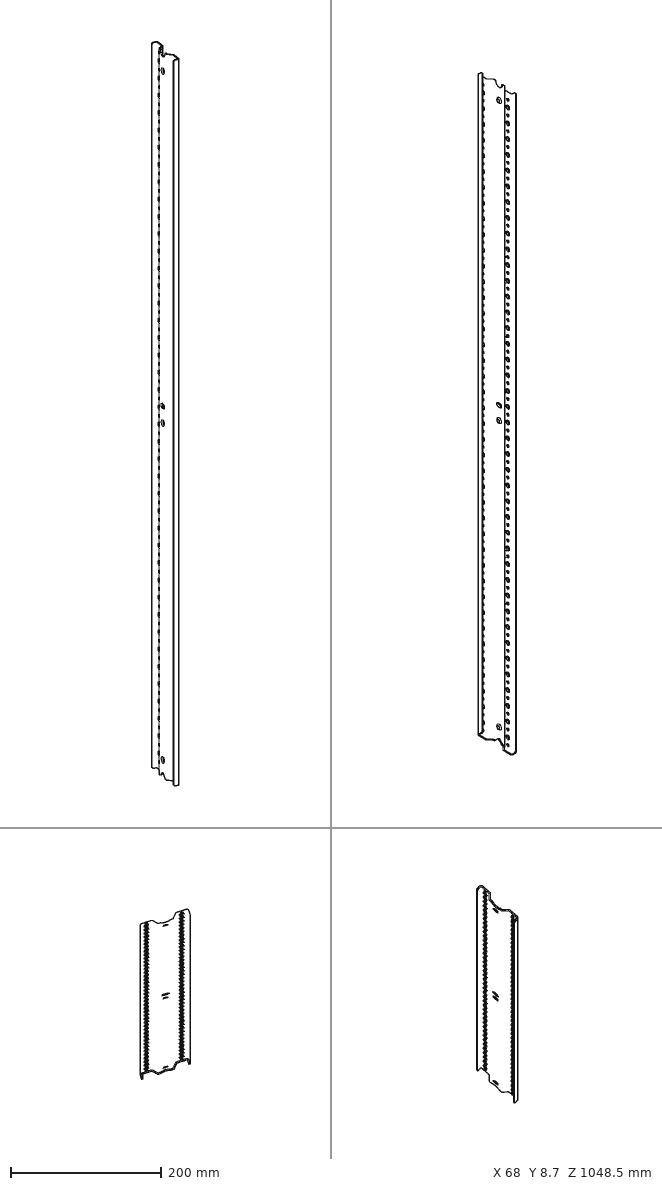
import cadquery as cq
import math

width = 68.01
depth = 8.7
length = 1048.5

sheet = 2.0
web_half_width = 11.3
slope_angle = 47.0
slope_inner_bend = 0.3
lip_inner_bend = 1.0
lip_corner_radius = 2.5

row_x = 24.75
hole_pitch = 25.0
large_hole = 6.7
small_hole = 4.0

screw_hole_heights = (25.0, 511.5, 1020.0)
screw_hole = 5.5
countersink = 9.0
slot_z = 536.0
slot_width = 10.0
slot_height = 6.5

top_notch_radius = 6.5
top_notch_centre_depth = 1.0
bottom_notch_half_width = 7.5
bottom_notch_angle = 45.0
bottom_notch_tip_radius = 2.5


def mirrored(points):
    """Points on the +X side followed by their mirror images, in outline order."""
    return points + [(-x, y) for x, y in reversed(points)]


def nearest(x, y, z):
    return cq.selectors.NearestToPointSelector((x, y, z))


def round_bends(body, corners, radius):
    """Rounds the full-length edges at the given (x, y) corners on both sides."""
    for x, y in mirrored(corners):
        body = body.edges(nearest(x, y, length / 2)).fillet(radius)
    return body


def round_lip_corners(body):
    """Rounds the free corner of both lips at both ends of the rail."""
    lip_middle = (width - sheet) / 2
    for z in (0, length):
        for x in (-lip_middle, lip_middle):
            body = body.edges(nearest(x, 0, z)).fillet(lip_corner_radius)
    return body


def folded_sheet():
    half_width = width / 2
    rise = depth - sheet
    run = rise / math.tan(math.radians(slope_angle))
    miter = sheet * math.tan(math.radians(slope_angle / 2))

    web_front = (web_half_width, 0)
    web_back = (web_half_width - miter, sheet)
    flange_front = (web_half_width + run, rise)
    flange_back = (web_half_width + run - miter, depth)
    lip_inside = (half_width - sheet, rise)
    lip_outside = (half_width, depth)
    front_face = [web_front, flange_front, lip_inside, (half_width - sheet, 0)]
    back_face = [(half_width, 0), lip_outside, flange_back, web_back]

    outline = cq.Workplane("XY").polyline(mirrored(front_face + back_face)).close()
    body = outline.extrude(length)
    body = round_bends(body, [lip_inside], lip_inner_bend)
    body = round_bends(body, [lip_outside], lip_inner_bend + sheet)
    body = round_bends(body, [flange_front, web_back], slope_inner_bend)
    body = round_bends(body, [web_front, flange_back], slope_inner_bend + sheet)
    return round_lip_corners(body)


def drills(points, diameter):
    """Cylinders along Y through the whole depth at (x, z) points."""
    return cq.Workplane("XZ").pushPoints(points).circle(diameter / 2).extrude(-depth)


def flange_holes():
    """Large and small holes alternate at half a pitch down both flanges."""
    rows = int(length / hole_pitch)
    sides = (-row_x, row_x)
    large = [(x, length - hole_pitch * i) for x in sides for i in range(1, rows + 1)]
    small = [(x, length - hole_pitch * (i + 0.5)) for x in sides for i in range(rows + 1)]
    return [drills(large, large_hole), drills(small, small_hole)]


def countersunk_hole(z):
    """Screw hole with a 90 degree countersink in the -Y face of the web."""
    cone_depth = (countersink - screw_hole) / 2
    cone = cq.Solid.makeCone(
        countersink / 2, screw_hole / 2, cone_depth, cq.Vector(0, 0, z), cq.Vector(0, 1, 0)
    )
    return drills([(0, z)], screw_hole).union(cq.Workplane(cone))


def web_slot():
    return cq.Workplane("XZ").center(0, slot_z).slot2D(slot_width, slot_height).extrude(-depth)


def top_notch():
    floor = drills([(0, length - top_notch_centre_depth)], 2 * top_notch_radius)
    mouth = cq.Workplane("XZ").center(0, length)
    mouth = mouth.rect(2 * top_notch_radius, 2 * top_notch_centre_depth).extrude(-depth)
    return floor.union(mouth)


def bottom_notch():
    tip_z = bottom_notch_half_width * math.tan(math.radians(bottom_notch_angle))
    corners = [(-bottom_notch_half_width, 0), (bottom_notch_half_width, 0), (0, tip_z)]
    wedge = cq.Workplane("XZ").polyline(corners).close().extrude(-depth)
    return wedge.edges(nearest(0, depth / 2, tip_z)).fillet(bottom_notch_tip_radius)


cutters = flange_holes()
cutters += [countersunk_hole(z) for z in screw_hole_heights]
cutters += [web_slot(), top_notch(), bottom_notch()]
cutter_solids = [solid for cutter in cutters for solid in cutter.solids().vals()]
rail = folded_sheet().val().cut(*cutter_solids)
result = cq.Workplane(rail.Solids()[0])